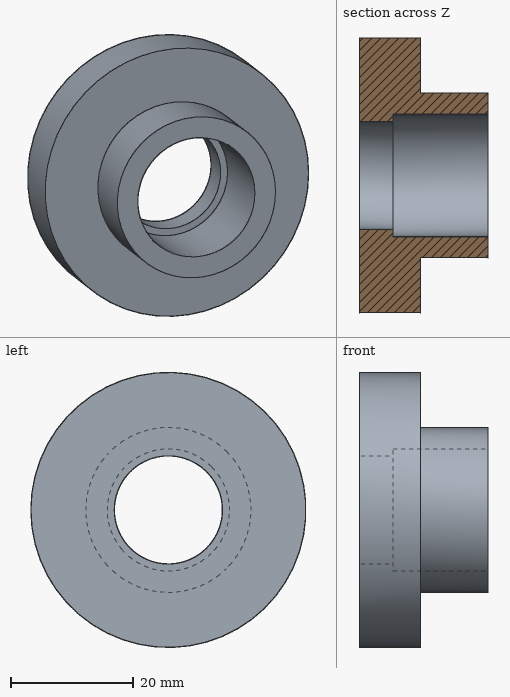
import cadquery as cq

flange_diameter = 45.0
flange_thickness = 10.0
hub_diameter = 27.0
total_length = 21.0
bore_diameter = 17.65
counterbore_diameter = 20.0
bore_depth = 5.5


def cylinder_along_x(diameter, start, end):
    """Solid cylinder centred on the X axis between two X positions."""
    return cq.Workplane("YZ", origin=(start, 0, 0)).circle(diameter / 2).extrude(end - start)


flange = cylinder_along_x(flange_diameter, 0, flange_thickness)
hub = cylinder_along_x(hub_diameter, 0, total_length)

bore = cylinder_along_x(bore_diameter, 0, total_length)
counterbore = cylinder_along_x(counterbore_diameter, bore_depth, total_length)

result = flange.union(hub).cut(bore).cut(counterbore)